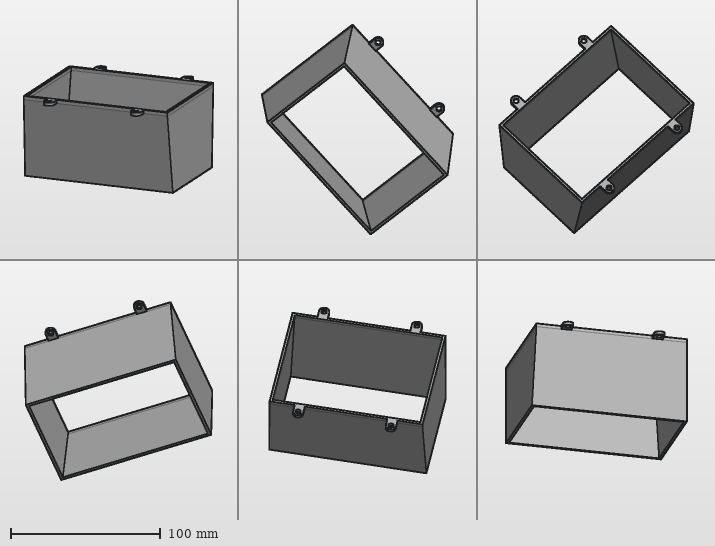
import cadquery as cq

height = 57.0
rim_height = 2.2
base_length = 107.0
base_width = 67.2
rim_length = 104.0
rim_width = 79.0
wall = 1.8

tab_span = 96.0
tab_width = 7.0
tab_spacing = 63.0
hole_diameter = 3.6

tab_radius = tab_width / 2
hole_y = tab_span / 2 - tab_radius
shell_height = height - rim_height


def tapered_block(inset):
    """Solid from the base rectangle to the rim rectangle, topped by a straight rim."""
    taper = (
        cq.Workplane("XY")
        .rect(base_length - 2 * inset, base_width - 2 * inset)
        .workplane(offset=shell_height)
        .rect(rim_length - 2 * inset, rim_width - 2 * inset)
        .loft(ruled=True)
    )
    rim = (
        cq.Workplane("XY", origin=(0, 0, shell_height))
        .rect(rim_length - 2 * inset, rim_width - 2 * inset)
        .extrude(rim_height)
    )
    return taper.union(rim)


def screw_tab(x, side):
    """Round-ended tab on the +Y (side = 1) or -Y (side = -1) edge of the rim."""
    root_y = side * (rim_width - wall) / 2
    tip_y = side * hole_y
    return (
        cq.Workplane("XY", origin=(0, 0, shell_height))
        .moveTo(x - tab_radius, root_y)
        .lineTo(x - tab_radius, tip_y)
        .threePointArc((x, tip_y + side * tab_radius), (x + tab_radius, tip_y))
        .lineTo(x + tab_radius, root_y)
        .close()
        .moveTo(x, tip_y)
        .circle(hole_diameter / 2)
        .extrude(rim_height)
    )


result = tapered_block(0).cut(tapered_block(wall))

for tab_x in (-tab_spacing / 2, tab_spacing / 2):
    for tab_side in (-1, 1):
        result = result.union(screw_tab(tab_x, tab_side))